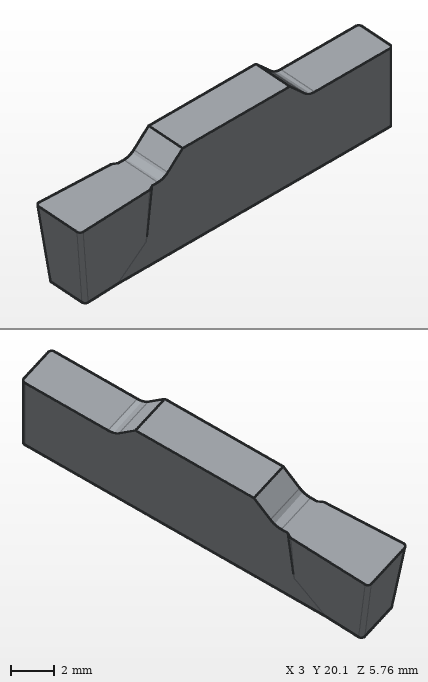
import cadquery as cq
import math


length = 20.05
height = 5.76
ledge_height = 4.6
shank_width = 2.3
edge_width = 3.0
corner_radius = 0.2

rib_front = 6.8
rib_back = 13.55
rib_slope = math.tan(math.radians(44))
rib_root_radius = 0.9
rib_run = (height - ledge_height) / rib_slope

front_clearance = math.tan(math.radians(7))
side_clearance = math.tan(math.radians(3))
back_taper = math.tan(math.radians(2.5))
shoulder_slope = math.tan(math.radians(30))
shoulder_y = 4.88
shoulder_lean = 0.115

shoulder_radius = 0.12

shank_start = 1.0

sharp_half_width = edge_width / 2 + corner_radius * back_taper


def make_shank():
    """Plain bar with the raised rib and rounded rear corners."""
    profile = [
        (shank_start, 0),
        (length, 0),
        (length, ledge_height),
        (rib_back + rib_run, ledge_height),
        (rib_back, height),
        (rib_front, height),
        (rib_front - rib_run, ledge_height),
        (shank_start, ledge_height),
    ]
    bar = cq.Workplane("YZ").polyline(profile).close().extrude(shank_width / 2, both=True)
    bar = bar.edges("|Z and >Y").fillet(corner_radius)
    root_positions = (rib_front - rib_run, rib_back + rib_run)
    for root_y in root_positions:
        root = cq.selectors.NearestToPointSelector((0, root_y, ledge_height))
        bar = bar.edges(root).fillet(rib_root_radius)
    return bar


def head_section(depth):
    """Corner points of the head's outline at a depth below the ledge."""
    front_y = front_clearance * depth
    side_at_edge = sharp_half_width - side_clearance * depth
    front_x = side_at_edge - back_taper * front_y
    tail_y = shoulder_y - shoulder_lean * depth + shank_width / 2 / shoulder_slope
    rear_y = (shoulder_slope * tail_y - side_at_edge) / (shoulder_slope - back_taper)
    rear_x = side_at_edge - back_taper * rear_y
    return [(-front_x, front_y), (front_x, front_y), (rear_x, rear_y), (0, tail_y), (-rear_x, rear_y)]


def make_head():
    """Head tapering downward and backward, with rounded front and shoulder corners."""
    head = (
        cq.Workplane("XY")
        .polyline(head_section(ledge_height))
        .close()
        .workplane(offset=ledge_height)
        .polyline(head_section(0))
        .close()
        .loft(ruled=True, combine=True)
    )
    for radius, section_corners in ((corner_radius, (0, 1)), (shoulder_radius, (2, 4))):
        for corner in section_corners:
            x, y = head_section(ledge_height / 2)[corner]
            edge = cq.selectors.NearestToPointSelector((x, y, ledge_height / 2))
            head = head.edges(edge).fillet(radius)
    return head


result = make_shank().union(make_head()).clean()